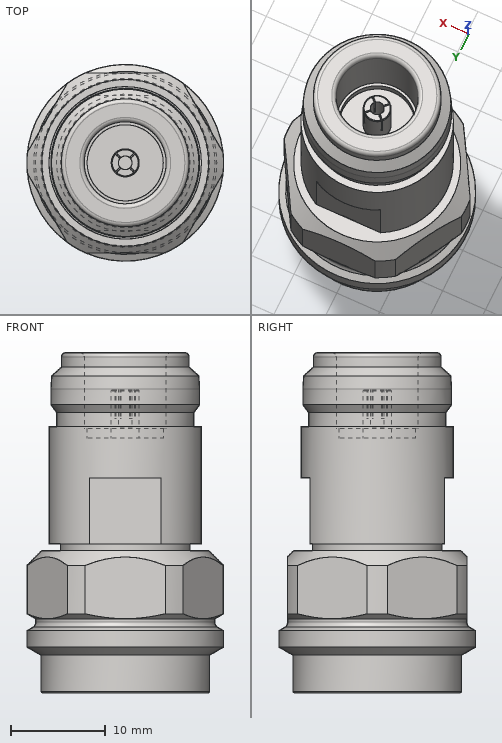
import cadquery as cq
import math


total_height = 35.95
base_top_z = 4.0
flange_top_z = 6.58
flange_cone_top_z = 7.0
groove_floor_z = 7.48
nut_top_z = 15.05
body_bottom_z = 15.75
body_top_z = 28.13
relief_top_z = 29.62
thread_bottom_z = 30.45
thread_taper_z = 32.13
thread_top_z = 33.5
collar_bottom_z = 34.42

base_radius = 8.92
flange_radius = 10.4
groove_radius = 9.47
nut_top_radius = 8.82
neck_radius = 6.85
body_radius = 8.05
relief_radius = 7.25
thread_radius = 7.87
thread_top_radius = 7.78
collar_radius = 6.75

base_chamfer = 0.15
collar_fillet = 0.45
cone_angle = 30
cone_slope = math.tan(math.radians(cone_angle))
groove_blend_sag = 0.25

nut_across_flats = 19.0
nut_lower_corner_z = 8.37
flat_half_distance = 7.12
flat_top_z = 22.73

bore_radius = 4.33
lip_radius = 0.47
inner_bore_radius = 4.02
bore_shoulder_depth = 8.0
bore_depth = 9.0
contact_radius = 1.48
contact_chamfer = 0.1
contact_hole_radius = 0.72
contact_hole_depth = 4.0
contact_tip_depth = 3.95
contact_slot_width = 0.15
contact_slot_depth = 3.0


def cylinder(radius, bottom_z, top_z):
    return cq.Workplane("XY").workplane(offset=bottom_z).circle(radius).extrude(top_z - bottom_z)


def lower_body():
    """Plain base, flange with sloped sides, and the groove below the nut."""
    flange_bottom_z = base_top_z + (flange_radius - base_radius) * cone_slope
    cone_top_radius = flange_radius - (flange_cone_top_z - flange_top_z) / cone_slope
    blend_z = (flange_cone_top_z + groove_floor_z) / 2
    blend_radius = groove_radius + (cone_top_radius - groove_radius) * groove_blend_sag
    return (
        cq.Workplane("XZ")
        .moveTo(0, 0)
        .lineTo(base_radius - base_chamfer, 0)
        .lineTo(base_radius, base_chamfer)
        .lineTo(base_radius, base_top_z)
        .lineTo(flange_radius, flange_bottom_z)
        .lineTo(flange_radius, flange_top_z)
        .lineTo(cone_top_radius, flange_cone_top_z)
        .threePointArc((blend_radius, blend_z), (groove_radius, groove_floor_z))
        .lineTo(groove_radius, nut_lower_corner_z)
        .lineTo(0, nut_lower_corner_z)
        .close()
        .revolve(360, (0, 0, 0), (0, 1, 0))
    )


def hex_nut():
    """Hex prism with flats facing +-Y, its corners turned and coned at both ends."""
    nut_bottom_z = nut_lower_corner_z - (flange_radius - groove_radius) * cone_slope
    upper_corner_z = nut_top_z - (flange_radius - nut_top_radius)
    prism = (
        cq.Workplane("XY")
        .workplane(offset=nut_bottom_z)
        .polygon(6, nut_across_flats / math.cos(math.pi / 6))
        .extrude(nut_top_z - nut_bottom_z)
    )
    turned_envelope = (
        cq.Workplane("XZ")
        .moveTo(0, nut_bottom_z)
        .lineTo(groove_radius, nut_bottom_z)
        .lineTo(flange_radius, nut_lower_corner_z)
        .lineTo(flange_radius, upper_corner_z)
        .lineTo(nut_top_radius, nut_top_z)
        .lineTo(0, nut_top_z)
        .close()
        .revolve(360, (0, 0, 0), (0, 1, 0))
    )
    return prism.intersect(turned_envelope)


def main_barrel():
    """Barrel above the nut with two opposite wrench flats at its lower end."""
    barrel = cylinder(body_radius, body_bottom_z, body_top_z)
    flat_height = flat_top_z - body_bottom_z
    flat_cut_depth = body_radius - flat_half_distance
    for side in (-1, 1):
        cutter = cq.Workplane("XY").box(2 * body_radius, flat_cut_depth, flat_height)
        cutter_y = side * (flat_half_distance + flat_cut_depth / 2)
        barrel = barrel.cut(cutter.translate((0, cutter_y, body_bottom_z + flat_height / 2)))
    return barrel


def threaded_end():
    """Relief neck, smooth thread envelope and round-edged collar."""
    return (
        cq.Workplane("XZ")
        .moveTo(0, body_top_z)
        .lineTo(relief_radius, body_top_z)
        .lineTo(relief_radius, relief_top_z)
        .lineTo(thread_radius, thread_bottom_z)
        .lineTo(thread_radius, thread_taper_z)
        .lineTo(thread_top_radius, thread_top_z)
        .lineTo(collar_radius, collar_bottom_z)
        .lineTo(collar_radius, total_height)
        .lineTo(0, total_height)
        .close()
        .revolve(360, (0, 0, 0), (0, 1, 0))
        .faces(">Z")
        .edges()
        .fillet(collar_fillet)
    )


def socket_cavity():
    """Stepped blind bore with a rounded mouth."""
    shoulder_z = total_height - bore_shoulder_depth
    floor_z = total_height - bore_depth
    lip_offset = lip_radius * (1 - math.sqrt(0.5))
    return (
        cq.Workplane("XZ")
        .moveTo(0, floor_z)
        .lineTo(inner_bore_radius, floor_z)
        .lineTo(inner_bore_radius, shoulder_z)
        .lineTo(bore_radius, shoulder_z)
        .lineTo(bore_radius, total_height - lip_radius)
        .threePointArc(
            (bore_radius + lip_offset, total_height - lip_offset),
            (bore_radius + lip_radius, total_height),
        )
        .lineTo(0, total_height)
        .close()
        .revolve(360, (0, 0, 0), (0, 1, 0))
    )


def centre_contact():
    """Hollow contact standing on the bore floor, split by two crossed diagonal slots."""
    tip_z = total_height - contact_tip_depth
    contact = cylinder(contact_radius, total_height - bore_depth, tip_z)
    contact = contact.faces(">Z").edges().chamfer(contact_chamfer)
    contact = contact.cut(cylinder(contact_hole_radius, tip_z - contact_hole_depth, tip_z))
    slot_length = 2 * contact_radius + contact_slot_width
    for angle in (45, 135):
        slot = cq.Workplane("XY").box(slot_length, contact_slot_width, contact_slot_depth)
        slot = slot.rotate((0, 0, 0), (0, 0, 1), angle)
        contact = contact.cut(slot.translate((0, 0, tip_z - contact_slot_depth / 2)))
    return contact


result = (
    lower_body()
    .union(hex_nut())
    .union(cylinder(neck_radius, nut_top_z, body_bottom_z))
    .union(main_barrel())
    .union(threaded_end())
    .cut(socket_cavity())
    .union(centre_contact())
)